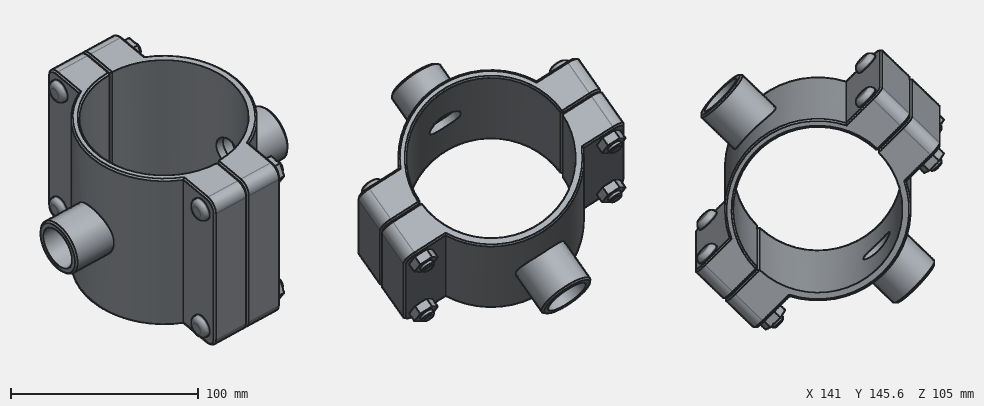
import cadquery as cq
import math

bore_radius = 45.0
wall_thickness = 4.5
ring_radius = bore_radius + wall_thickness
clamp_height = 105.0
flange_thickness = 22.5
flange_width = 21.0
clamp_length = 2 * (ring_radius + flange_width)
corner_radius = 7.0
edge_chamfer = 1.0

thread_diameter = 24.12
socket_diameter = 31.35
socket_reach = 72.8
thread_depth = 18.5
passage_diameter = 20.0
socket_chamfer = 1.0

fastener_x = ring_radius + flange_width / 2
fastener_z = (clamp_height - flange_width) / 2
bolt_diameter = 8.0
head_diameter = 13.0
head_height = 4.0
head_rounding = 3.2
nut_width = 13.0
nut_height = 5.2
tip_height = 2.6
tip_chamfer = 0.8


def on_plane_y(y):
    """Workplane parallel to the XZ plane, extruding toward -Y."""
    return cq.Workplane("XZ", origin=(0, y, 0))


def at_flange_corners(y):
    """Workplane at the given Y with a point at each of the four fastener axes."""
    return on_plane_y(y).rect(2 * fastener_x, 2 * fastener_z, forConstruction=True).vertices()


def flange_ring_corners():
    """Selector for the inside corners where the outer flange faces run into the ring."""
    corner_x = math.sqrt(ring_radius**2 - flange_thickness**2)
    reach = edge_chamfer / 2
    selectors = [
        cq.selectors.BoxSelector(
            (x - reach, -flange_thickness - reach, -reach),
            (x + reach, -flange_thickness + reach, reach),
        )
        for x in (-corner_x, corner_x)
    ]
    return selectors[0] + selectors[1]


def half_shell():
    """Half ring with its two flanges, on the -Y side of the parting plane, still without a bore."""
    flange = on_plane_y(0).rect(clamp_length, clamp_height).extrude(flange_thickness)
    flange = flange.edges("|Y").fillet(corner_radius)
    ring = (
        cq.Workplane("XY", origin=(0, 0, -clamp_height / 2))
        .moveTo(-ring_radius, 0)
        .threePointArc((0, -ring_radius), (ring_radius, 0))
        .close()
        .extrude(clamp_height)
    )
    return flange.union(ring)


def chamfer_edges(body):
    """Chamfer every edge except the inside corners and the smooth borders of the rounded corners."""
    sharp_edges = cq.selectors.StringSyntaxSelector("not |Y") - flange_ring_corners()
    return body.edges(sharp_edges).chamfer(edge_chamfer)


def cut_bore(body):
    return body.cut(cq.Workplane("XY").cylinder(clamp_height, bore_radius))


def chamfer_bore_seams(body):
    """Chamfer the two upright edges where the bore meets the parting plane."""
    seams = cq.selectors.BoxSelector(
        (-bore_radius - edge_chamfer / 2, -edge_chamfer / 2, -edge_chamfer),
        (bore_radius + edge_chamfer / 2, edge_chamfer / 2, edge_chamfer),
    )
    return body.edges(seams).chamfer(edge_chamfer)


def front_passage():
    """Round passage along -Y that joins the bore to the socket."""
    return on_plane_y(0).circle(passage_diameter / 2).extrude(socket_reach)


def front_socket():
    """Threaded pipe socket along -Y, saddled on the outside of the ring."""
    socket = on_plane_y(0).circle(socket_diameter / 2).extrude(socket_reach)
    socket = socket.faces("<Y").edges().chamfer(socket_chamfer)
    ring_space = cq.Workplane("XY").cylinder(clamp_height, ring_radius)
    thread = on_plane_y(-socket_reach).circle(thread_diameter / 2).extrude(-thread_depth)
    return socket.cut(ring_space).cut(front_passage()).cut(thread)


def turned_to_back(body):
    return body.rotate((0, 0, 0), (0, 0, 1), 180)


def bolt_heads():
    heads = at_flange_corners(-flange_thickness).circle(head_diameter / 2).extrude(head_height)
    return heads.faces("<Y").edges().fillet(head_rounding)


def nuts_with_bolt_tips():
    """Hexagon nuts with a corner along X, each with a chamfered bolt tip standing out of it."""
    nut_corner_diameter = nut_width / math.cos(math.pi / 6)
    nuts = at_flange_corners(flange_thickness).polygon(6, nut_corner_diameter).extrude(-nut_height)
    nut_face = flange_thickness + nut_height
    tips = at_flange_corners(nut_face).circle(bolt_diameter / 2).extrude(-tip_height)
    return nuts.union(tips.faces(">Y").edges().chamfer(tip_chamfer))


front_half = chamfer_edges(cut_bore(half_shell())).cut(front_passage())

back_half = chamfer_edges(half_shell()).cut(front_passage())
back_half = turned_to_back(chamfer_bore_seams(cut_bore(back_half)))

clamp = front_half.union(back_half).union(bolt_heads()).union(nuts_with_bolt_tips())

sockets = [front_socket(), turned_to_back(front_socket())]

result = cq.Compound.makeCompound([clamp.val(), *[socket.val() for socket in sockets]])